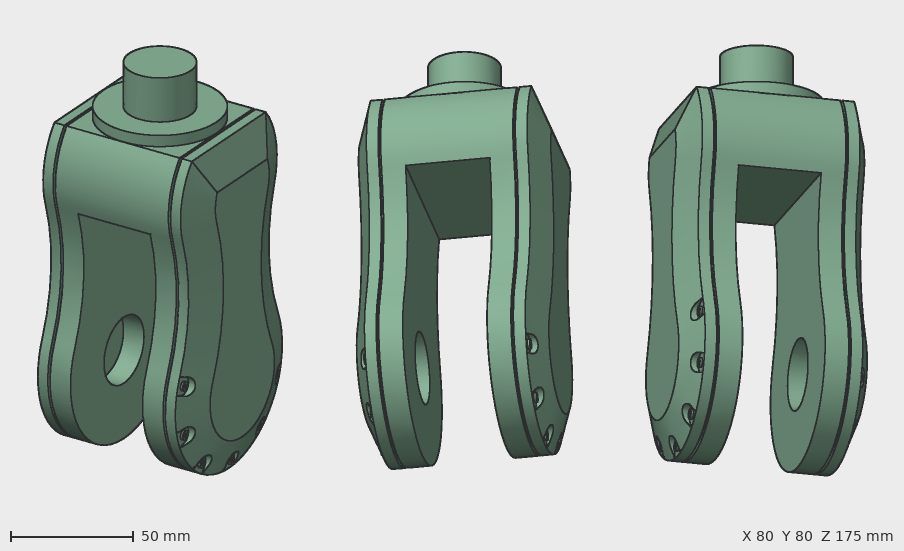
import cadquery as cq
import math


overall_width = 80.0
overall_height = 175.0
stub_diameter = 30.0
stub_height = 20.0
flange_diameter = 55.0
flange_height = 5.0

pivot_radius = overall_width / 2
shoulder_radius = 36.0
shoulder_height = 86.8
waist_radius = 85.0

fork_gap = 35.0
bridge_width = flange_diameter
groove_width = 1.0
groove_depth = 2.1
cover_rim = 4.9
bevel_inset = 16.0

bore_diameter = 30.0
bore_depth = 10.0

screw_circle_radius = 35.9
screw_count = 6
screw_pitch = 36
first_screw_angle = 162
pocket_radius = 4.0
screw_head_diameter = 4.0
screw_head_height = 1.0
hex_sides = 6
hex_socket_diameter = 2.1
hex_socket_depth = 0.5

top_z = overall_height - pivot_radius - stub_height - flange_height
groove_start = bridge_width / 2
cover_start = groove_start + groove_width
bevel_start = cover_start + cover_rim
bevel_height = overall_width / 2 - bevel_start

pivot_to_waist = pivot_radius + waist_radius
shoulder_to_waist = shoulder_radius + waist_radius
waist_z = (pivot_to_waist**2 - shoulder_to_waist**2 + shoulder_height**2) / (2 * shoulder_height)
waist_y = math.sqrt(pivot_to_waist**2 - waist_z**2)


def shoulder_tangent(inset=0):
    """Half-width and height where the shoulder lobe meets the waist."""
    share = (shoulder_radius - inset) / shoulder_to_waist
    return waist_y * share, shoulder_height + (waist_z - shoulder_height) * share


def leg_outline(x, inset=0):
    """Closed leg outline in the plane at x, moved inward by inset."""
    pivot = pivot_radius - inset
    shoulder = shoulder_radius - inset
    flat_z = top_z - inset
    flat_y = math.sqrt(shoulder**2 - (flat_z - shoulder_height) ** 2)
    upper_y, upper_z = shoulder_tangent(inset)
    lower_y = waist_y * pivot / pivot_to_waist
    lower_z = waist_z * pivot / pivot_to_waist
    narrow_y = waist_y - waist_radius - inset
    return (
        cq.Workplane("YZ", origin=(x, 0, 0))
        .moveTo(-flat_y, flat_z)
        .lineTo(flat_y, flat_z)
        .threePointArc((shoulder, shoulder_height), (upper_y, upper_z))
        .threePointArc((narrow_y, waist_z), (lower_y, lower_z))
        .threePointArc((0, -pivot), (-lower_y, lower_z))
        .threePointArc((-narrow_y, waist_z), (-upper_y, upper_z))
        .threePointArc((-shoulder, shoulder_height), (-flat_y, flat_z))
        .close()
    )


def disc(x, diameter, length):
    """Cylinder along X on the pivot axis, starting at x."""
    return cq.Workplane("YZ", origin=(x, 0, 0)).circle(diameter / 2).extrude(length)


def bridge():
    """Solid shoulder block across the fork, flat underneath."""
    bottom_z = shoulder_tangent()[1]
    height = top_z - bottom_z
    keep = cq.Workplane("XY", origin=(0, 0, bottom_z)).box(
        bridge_width, 2 * shoulder_radius, height, centered=(True, True, False)
    )
    return leg_outline(-bridge_width / 2).extrude(bridge_width).intersect(keep)


def bevelled_cover():
    """Outer cover: a straight rim, then a bevel up to a smaller flat face."""
    rim = leg_outline(cover_start).extrude(cover_rim)
    base = leg_outline(bevel_start).wire().val()
    face = leg_outline(bevel_start + bevel_height, bevel_inset).wire().val()
    return rim.union(cq.Workplane(cq.Solid.makeLoft([base, face], True)))


def screw_pocket(angle):
    """Radial slot, round at its inner end and open at the cover edge."""
    floor = cq.Workplane("YZ", origin=(bevel_start, screw_circle_radius, 0))
    round_end = floor.circle(pocket_radius).extrude(bevel_height)
    open_end = floor.center(pocket_radius, 0).rect(2 * pocket_radius, 2 * pocket_radius).extrude(bevel_height)
    return round_end.union(open_end).rotate((0, 0, 0), (1, 0, 0), angle)


def screw_head(angle):
    """Round head standing on the pocket floor, with a hexagonal socket."""
    return (
        cq.Workplane("YZ", origin=(bevel_start, screw_circle_radius, 0))
        .circle(screw_head_diameter / 2)
        .extrude(screw_head_height)
        .faces(">X")
        .workplane()
        .polygon(hex_sides, hex_socket_diameter)
        .cutBlind(-hex_socket_depth)
        .rotate((0, 0, 0), (1, 0, 0), angle)
    )


def leg():
    """Leg on the +X side: bored inner plate, recessed groove layer and cover."""
    inner_plate = leg_outline(fork_gap / 2).extrude(groove_start - fork_gap / 2)
    groove_core = leg_outline(groove_start, groove_depth).extrude(groove_width)
    body = inner_plate.union(groove_core).union(bevelled_cover())
    body = body.cut(disc(fork_gap / 2, bore_diameter, bore_depth))
    for step in range(screw_count):
        angle = first_screw_angle + screw_pitch * step
        body = body.cut(screw_pocket(angle)).union(screw_head(angle))
    return body


def stub():
    """Round flange on the flat top, carrying the stub."""
    return (
        cq.Workplane("XY", origin=(0, 0, top_z))
        .circle(flange_diameter / 2)
        .extrude(flange_height)
        .faces(">Z")
        .workplane()
        .circle(stub_diameter / 2)
        .extrude(stub_height)
    )


right_leg = leg()
left_leg = right_leg.mirror("YZ")
result = bridge().union(right_leg).union(left_leg).union(stub())